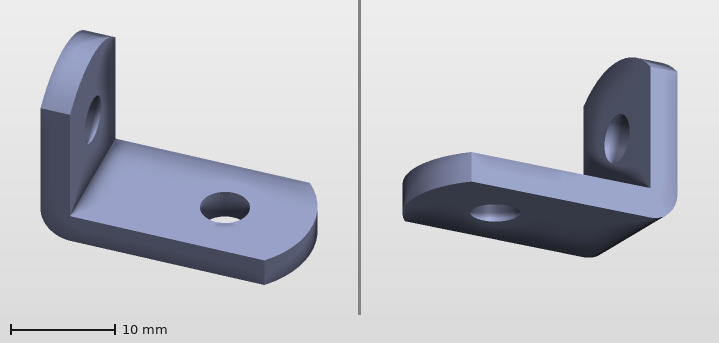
import cadquery as cq

length = 25.37
width = 12.7
height = 17.95
thickness = 3.02
bend_radius = thickness
tip_rise = 2.5
hole_diameter = 4.8
base_hole_x = 16.52
upright_hole_z = 10.1


def leg(plane, reach, hole_position):
    """Flat leg starting at the outer corner, with an arc tip and a hole."""
    half_width = width / 2
    shoulder = reach - tip_rise
    blank = (
        cq.Workplane(plane)
        .moveTo(0, -half_width)
        .lineTo(shoulder, -half_width)
        .threePointArc((reach, 0), (shoulder, half_width))
        .lineTo(0, half_width)
        .close()
        .extrude(thickness)
    )
    hole = (
        cq.Workplane(plane)
        .center(hole_position, 0)
        .circle(hole_diameter / 2)
        .extrude(thickness)
    )
    return blank.cut(hole)


base_plane = cq.Plane(origin=(0, 0, 0), xDir=(1, 0, 0), normal=(0, 0, 1))
upright_plane = cq.Plane(origin=(0, 0, 0), xDir=(0, 0, 1), normal=(1, 0, 0))

base = leg(base_plane, length, base_hole_x)
upright = leg(upright_plane, height, upright_hole_z)

bracket = base.union(upright).clean()
outer_corner = cq.selectors.NearestToPointSelector((0, 0, 0))
result = bracket.edges(outer_corner).fillet(bend_radius)